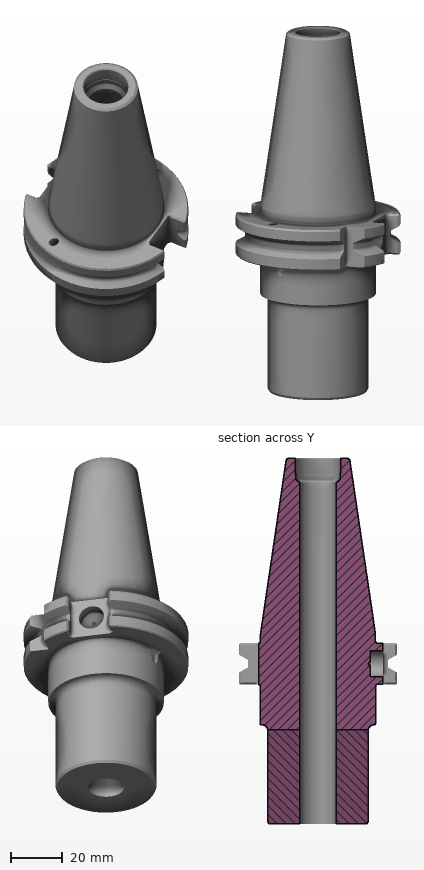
import cadquery as cq
import math

CUT_MARGIN = 1.4
SLANTED_CUT_MARGIN = 11.3

TOTAL_HEIGHT = 141.2
SLEEVE_TOP_Z = 36.2
SHANK_BOTTOM_Z = 38.1
GAUGE_Z = 72.9
FLANGE_TOP_Z = 69.8
FLANGE_BOTTOM_Z = 53.8

TAPER_RATE = 7 / 24
SHANK_RADIUS = 22.3
TAPER_TIP_RADIUS = SHANK_RADIUS - (TOTAL_HEIGHT - GAUGE_Z) * TAPER_RATE / 2
TIP_CHAMFER_WIDTH = 1.0
TIP_CHAMFER_HEIGHT = 0.7
NECK_FILLET = SHANK_BOTTOM_Z - SLEEVE_TOP_Z

FLANGE_RADIUS = 31.8
FLANGE_CHAMFER_WIDTH = 0.4
FLANGE_CHAMFER_HEIGHT = 0.7
FLANGE_LOWER_CHAMFER = 0.4
FLANGE_ROOT_FILLET = 0.5
GROOVE_CENTRE_Z = 61.9
GROOVE_FLOOR_RADIUS = 28.1
GROOVE_FLOOR_HALF_WIDTH = 1.4
GROOVE_ROOT_FILLET = 0.7
GROOVE_FLANK_ANGLE = 30.0
GROOVE_HALF_WIDTH = GROOVE_FLOOR_HALF_WIDTH + (FLANGE_RADIUS - GROOVE_FLOOR_RADIUS) * math.tan(
    math.radians(GROOVE_FLANK_ANGLE)
)

SLOT_WIDTH = 16.1
SLOT_CORNER_RADIUS = 0.7
SLOT_EDGE_CHAMFER = 0.7
SLOT_MOUTH_CHAMFER = 1.0
LEFT_SLOT_FLOOR = 25.0
RIGHT_SLOT_FLOOR = 23.0
NOTCH_OFFSET = 18.5

POCKET_RADIUS = 5.0
POCKET_DEPTH = 4.7
CENTRE_PIT_RADIUS = 0.8
CENTRE_PIT_DEPTH = 0.8

COOLANT_AZIMUTHS = (70.0, 250.0)
INLET_RADIUS = 1.7
INLET_PITCH_RADIUS = 26.8
INLET_TILT = 38.0
OUTLET_RADIUS = 2.5
OUTLET_PITCH_RADIUS = 21.8
OUTLET_TILT = 35.0

BORE_RADIUS = 6.9
COUNTERBORE_RADIUS = 8.6
COUNTERBORE_DEPTH = 6.1
LOWER_STEP_RADIUS = 8.5
LOWER_STEP_DEPTH = 8.3
BORE_CONE_DEPTH = 9.6
BORE_CHAMFER = 0.4

SLEEVE_RADIUS = 19.5
SLEEVE_CHAMFER_WIDTH = 0.5
SLEEVE_CHAMFER_HEIGHT = 1.0


def revolve_profile(points):
    """Closed (radius, height) outline turned about the Z axis."""
    return cq.Workplane("XZ").polyline(points).close().revolve(360, (0, 0), (0, 1))


def make_shank_blank():
    """Taper and cylinder, necked down to the sleeve's radius by a concave fillet."""
    blank = revolve_profile([
        (0, SHANK_BOTTOM_Z),
        (SHANK_RADIUS, SHANK_BOTTOM_Z),
        (SHANK_RADIUS, GAUGE_Z),
        (TAPER_TIP_RADIUS, TOTAL_HEIGHT - TIP_CHAMFER_HEIGHT),
        (TAPER_TIP_RADIUS - TIP_CHAMFER_WIDTH, TOTAL_HEIGHT),
        (0, TOTAL_HEIGHT),
    ])
    return blank.union(make_concave_fillet(SLEEVE_RADIUS, SHANK_BOTTOM_Z, -NECK_FILLET))


def make_flange_disc():
    """Grooved disc with chamfered rims and rounded groove roots."""
    disc = revolve_profile([
        (0, FLANGE_BOTTOM_Z),
        (FLANGE_RADIUS - FLANGE_LOWER_CHAMFER, FLANGE_BOTTOM_Z),
        (FLANGE_RADIUS, FLANGE_BOTTOM_Z + FLANGE_LOWER_CHAMFER),
        (FLANGE_RADIUS, GROOVE_CENTRE_Z - GROOVE_HALF_WIDTH),
        (GROOVE_FLOOR_RADIUS, GROOVE_CENTRE_Z - GROOVE_FLOOR_HALF_WIDTH),
        (GROOVE_FLOOR_RADIUS, GROOVE_CENTRE_Z + GROOVE_FLOOR_HALF_WIDTH),
        (FLANGE_RADIUS, GROOVE_CENTRE_Z + GROOVE_HALF_WIDTH),
        (FLANGE_RADIUS, FLANGE_TOP_Z - FLANGE_CHAMFER_HEIGHT),
        (FLANGE_RADIUS - FLANGE_CHAMFER_WIDTH, FLANGE_TOP_Z),
        (0, FLANGE_TOP_Z),
    ])
    root_circles = cq.selectors.BoxSelector(
        (-1.4, -1.4, GROOVE_CENTRE_Z - GROOVE_HALF_WIDTH / 2),
        (1.4, 1.4, GROOVE_CENTRE_Z + GROOVE_HALF_WIDTH / 2),
    )
    return disc.edges(root_circles).fillet(GROOVE_ROOT_FILLET)


def make_concave_fillet(radius, face_z, height):
    """Ring of material easing a cylinder into a face; a negative height goes downwards."""
    size = abs(height)
    arc_radius = -height
    return (
        cq.Workplane("XZ")
        .moveTo(0, face_z + height)
        .lineTo(radius, face_z + height)
        .radiusArc((radius + size, face_z), arc_radius)
        .lineTo(0, face_z)
        .close()
        .revolve(360, (0, 0), (0, 1))
    )


def make_drive_slot(floor):
    """Cutter for a drive slot opening towards +X, with eased corners and edges."""
    half_width = SLOT_WIDTH / 2
    outside = FLANGE_RADIUS + CUT_MARGIN
    slot = (
        cq.Workplane("XY", origin=(0, 0, FLANGE_BOTTOM_Z))
        .center((floor + outside) / 2, 0)
        .rect(outside - floor, SLOT_WIDTH)
        .extrude(FLANGE_TOP_Z - FLANGE_BOTTOM_Z)
        .edges("|Z and <X")
        .fillet(SLOT_CORNER_RADIUS)
    )

    chamfer_start = floor + SLOT_CORNER_RADIUS
    wide_half = half_width + SLOT_EDGE_CHAMFER
    edge_chamfers = (
        cq.Workplane("YZ", origin=(chamfer_start, 0, 0))
        .polyline([
            (-wide_half, FLANGE_BOTTOM_Z),
            (wide_half, FLANGE_BOTTOM_Z),
            (half_width, FLANGE_BOTTOM_Z + SLOT_EDGE_CHAMFER),
            (half_width, FLANGE_TOP_Z - SLOT_EDGE_CHAMFER),
            (wide_half, FLANGE_TOP_Z),
            (-wide_half, FLANGE_TOP_Z),
            (-half_width, FLANGE_TOP_Z - SLOT_EDGE_CHAMFER),
            (-half_width, FLANGE_BOTTOM_Z + SLOT_EDGE_CHAMFER),
        ])
        .close()
        .extrude(outside - chamfer_start)
    )

    mouth_start = math.sqrt(FLANGE_RADIUS**2 - half_width**2) - SLOT_MOUTH_CHAMFER
    mouth_half = half_width + outside - mouth_start
    mouth_chamfers = (
        cq.Workplane("XY", origin=(0, 0, FLANGE_BOTTOM_Z))
        .polyline([
            (mouth_start, -half_width),
            (outside, -mouth_half),
            (outside, mouth_half),
            (mouth_start, half_width),
        ])
        .close()
        .extrude(FLANGE_TOP_Z - FLANGE_BOTTOM_Z)
    )
    return slot.union(edge_chamfers).union(mouth_chamfers)


def make_orientation_notch():
    """Cutter for the square corner taken out of the flange on the -X, +Y side."""
    size = FLANGE_RADIUS
    return (
        cq.Workplane("XY", origin=(0, 0, FLANGE_BOTTOM_Z))
        .center(-NOTCH_OFFSET - size / 2, NOTCH_OFFSET + size / 2)
        .rect(size, size)
        .extrude(FLANGE_TOP_Z - FLANGE_BOTTOM_Z)
    )


def make_pocket():
    """Cutter for the round pocket and the conical centre pit in its floor."""
    slot_floor = cq.Workplane("YZ", origin=(-LEFT_SLOT_FLOOR, 0, GROOVE_CENTRE_Z))
    pocket = slot_floor.circle(POCKET_RADIUS).extrude(POCKET_DEPTH)
    pit = cq.Solid.makeCone(
        CENTRE_PIT_RADIUS,
        0,
        CENTRE_PIT_DEPTH,
        cq.Vector(POCKET_DEPTH - LEFT_SLOT_FLOOR, 0, GROOVE_CENTRE_Z),
        cq.Vector(1, 0, 0),
    )
    return pocket.union(cq.Workplane(pit))


def make_slanted_hole(radius, pitch_radius, face_z, tilt, end_z):
    """Cutter in the XZ plane that leans towards the axis on its way from face_z to end_z."""
    rise = end_z - face_z
    lean = -abs(rise) * math.tan(math.radians(tilt))
    direction = cq.Vector(lean, 0, rise).normalized()
    start = cq.Vector(pitch_radius, 0, face_z) - direction * SLANTED_CUT_MARGIN
    length = math.hypot(lean, rise) + SLANTED_CUT_MARGIN
    return cq.Workplane(cq.Solid.makeCylinder(radius, length, start, direction))


def make_coolant_passage(azimuth):
    """Cutter for a V-shaped passage from the flange top to the shank below the flange."""
    inlet_slope = math.tan(math.radians(INLET_TILT))
    outlet_slope = math.tan(math.radians(OUTLET_TILT))
    meeting_z = (
        OUTLET_PITCH_RADIUS - INLET_PITCH_RADIUS
        + FLANGE_TOP_Z * inlet_slope + FLANGE_BOTTOM_Z * outlet_slope
    ) / (inlet_slope + outlet_slope)
    inlet = make_slanted_hole(INLET_RADIUS, INLET_PITCH_RADIUS, FLANGE_TOP_Z, INLET_TILT, meeting_z)
    outlet = make_slanted_hole(
        OUTLET_RADIUS, OUTLET_PITCH_RADIUS, FLANGE_BOTTOM_Z, OUTLET_TILT, meeting_z
    )
    return inlet.union(outlet).rotate((0, 0, 0), (0, 0, 1), azimuth)


def make_holder_bore():
    """Cutter for the stepped bore, from the counterbore in the taper tip downwards."""
    return revolve_profile([
        (0, SLEEVE_TOP_Z),
        (BORE_RADIUS, SLEEVE_TOP_Z),
        (BORE_RADIUS, TOTAL_HEIGHT - BORE_CONE_DEPTH),
        (LOWER_STEP_RADIUS, TOTAL_HEIGHT - LOWER_STEP_DEPTH),
        (LOWER_STEP_RADIUS, TOTAL_HEIGHT - COUNTERBORE_DEPTH),
        (COUNTERBORE_RADIUS, TOTAL_HEIGHT - COUNTERBORE_DEPTH),
        (COUNTERBORE_RADIUS, TOTAL_HEIGHT - BORE_CHAMFER),
        (COUNTERBORE_RADIUS + BORE_CHAMFER, TOTAL_HEIGHT),
        (0, TOTAL_HEIGHT),
    ])


def make_holder():
    """Tool holder: taper, flange and shank in one piece."""
    holder = make_shank_blank().union(make_flange_disc())
    holder = holder.union(make_concave_fillet(SHANK_RADIUS, FLANGE_TOP_Z, FLANGE_ROOT_FILLET))
    holder = holder.union(make_concave_fillet(SHANK_RADIUS, FLANGE_BOTTOM_Z, -FLANGE_ROOT_FILLET))
    holder = holder.cut(make_drive_slot(RIGHT_SLOT_FLOOR))
    holder = holder.cut(make_drive_slot(LEFT_SLOT_FLOOR).rotate((0, 0, 0), (0, 0, 1), 180))
    holder = holder.cut(make_orientation_notch())
    holder = holder.cut(make_pocket())
    for azimuth in COOLANT_AZIMUTHS:
        holder = holder.cut(make_coolant_passage(azimuth))
    return holder.cut(make_holder_bore())


def make_sleeve():
    """Plain sleeve under the shank, carrying the bore on to the lower end."""
    return revolve_profile([
        (BORE_RADIUS, 0),
        (SLEEVE_RADIUS - SLEEVE_CHAMFER_WIDTH, 0),
        (SLEEVE_RADIUS, SLEEVE_CHAMFER_HEIGHT),
        (SLEEVE_RADIUS, SLEEVE_TOP_Z),
        (BORE_RADIUS, SLEEVE_TOP_Z),
    ])


holder = make_holder()
sleeve = make_sleeve()
result = cq.Compound.makeCompound([holder.val(), sleeve.val()])